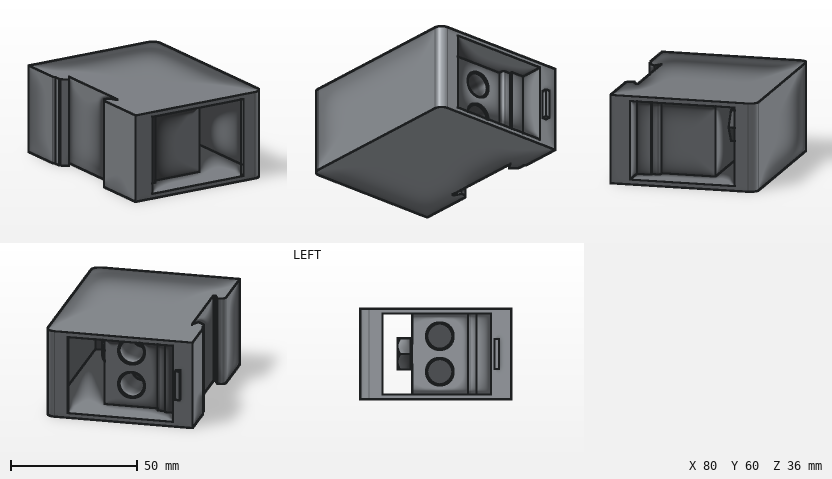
import cadquery as cq
import math

length = 78.0
depth = 60.0
height = 36.0
mid_x = length / 2
mid_z = height / 2
corner_radius = 3.5

recess_y = 5.4
foot_start_x = 17.4
foot_radius = 2.0
foot_rise = 0.6
hook_chamfer_x = 21.4
hook_chamfer_run = 0.6
hook_chamfer_rise = 0.3
hook_tip_x = 24.2
hook_tip_y = 3.5
hook_root_x = 21.1
lip_x = 53.4
lip_radius = 2.0
lip_top_y = 3.1
recess_end_x = 56.4
recess_end_y = 4.6

wall = 2.0
opening_start_y = 8.0
opening_end_y = 51.0
end_wall = 1.8
back_wall = 1.4
cavity_end_y = depth - back_wall
inner_height = height - 2 * wall

block_start_x = 14.0
block_end_y = 39.4
step_start_x = 11.6
step_end_y = 17.3
step_radius = 0.9
base_start_x = 10.4
base_end_y = 13.8

hole_diameter = 10.0
hole_chamfer = 0.5
hole_depth = 20.0
hole_y = 28.4
hole_spacing = 14.1

neck_diameter = 8.0
neck_length = 0.6
head_across_flats = 12.5
head_height = 5.3
head_top_radius = head_across_flats / 2
head_chamfer_angle = 45

tab_length = 2.0
tab_start_y = 4.9
tab_width = 1.8
tab_height = 12.0


def box(x_range, y_range, z_start, z_size):
    """Box between two X values and two Y values, raised from z_start."""
    x_size = x_range[1] - x_range[0]
    y_size = y_range[1] - y_range[0]
    corner = (x_range[0], y_range[0], z_start)
    return cq.Workplane("XY").box(x_size, y_size, z_size, centered=False).translate(corner)


def make_shell():
    """Outer body with the rail recess cut into its Y = 0 side."""
    foot_angle = math.acos(1 - foot_rise / foot_radius)
    foot_mid = (
        foot_start_x + foot_radius * math.sin(foot_angle / 2),
        foot_radius * (1 - math.cos(foot_angle / 2)),
    )
    foot_end = (foot_start_x + foot_radius * math.sin(foot_angle), foot_rise)
    lip_mid_offset = lip_radius * (1 - math.sqrt(0.5))
    profile = (
        cq.Workplane("XY")
        .moveTo(0, 0)
        .lineTo(foot_start_x, 0)
        .threePointArc(foot_mid, foot_end)
        .lineTo(hook_chamfer_x, foot_rise)
        .lineTo(hook_chamfer_x + hook_chamfer_run, foot_rise + hook_chamfer_rise)
        .lineTo(hook_tip_x, hook_tip_y)
        .lineTo(hook_root_x, recess_y)
        .lineTo(recess_end_x, recess_y)
        .lineTo(recess_end_x, recess_end_y)
        .lineTo(lip_x, lip_top_y)
        .lineTo(lip_x, lip_radius)
        .threePointArc((lip_x + lip_mid_offset, lip_mid_offset), (lip_x + lip_radius, 0))
        .lineTo(length, 0)
        .lineTo(length, depth)
        .lineTo(0, depth)
        .close()
    )
    return profile.extrude(height).edges("|Z and >Y").fillet(corner_radius)


def make_cavity():
    """Through opening plus the wider space between the end walls."""
    opening = box((0, length), (opening_start_y, opening_end_y), wall, inner_height)
    inside = box((end_wall, length - end_wall), (opening_start_y, cavity_end_y), wall, inner_height)
    return opening.union(inside)


def centred_bar(start_x, y_range):
    """Bar filling the inner height, centred along the housing."""
    return box((start_x, length - start_x), y_range, wall, inner_height)


def make_block():
    """Terminal block standing on a rounded step and a base."""
    block = centred_bar(block_start_x, (opening_start_y, block_end_y))
    step = centred_bar(step_start_x, (opening_start_y, step_end_y)).edges("|Z and >Y").fillet(step_radius)
    base = centred_bar(base_start_x, (opening_start_y, base_end_y))
    return block.union(step).union(base)


def make_wire_hole(z):
    """Blind wire hole with a chamfered mouth on the block face."""
    radius = hole_diameter / 2
    outline = (
        cq.Workplane("XY")
        .moveTo(0, 0)
        .lineTo(0, radius + hole_chamfer)
        .lineTo(hole_chamfer, radius)
        .lineTo(hole_depth, radius)
        .lineTo(hole_depth, 0)
        .close()
    )
    return outline.revolve(360, (0, 0), (1, 0)).translate((block_start_x, hole_y, z))


def make_bolt():
    """Hex head on a short neck, its axis along Y and a corner towards X = 0."""
    head_radius = head_across_flats / math.sqrt(3)
    chamfer_slope = math.tan(math.radians(head_chamfer_angle))
    skirt_height = head_height - (head_radius - head_top_radius) * chamfer_slope
    head = cq.Workplane("XZ").polygon(6, 2 * head_radius).extrude(-head_height)
    rounding = (
        cq.Workplane("XY")
        .moveTo(0, 0)
        .lineTo(head_radius, 0)
        .lineTo(head_radius, skirt_height)
        .lineTo(head_top_radius, head_height)
        .lineTo(0, head_height)
        .close()
        .revolve(360, (0, 0), (0, 1))
    )
    head = head.intersect(rounding).translate((0, neck_length, 0))
    neck = cq.Workplane("XZ").circle(neck_diameter / 2).extrude(-neck_length)
    return head.union(neck).translate((mid_x, block_end_y, mid_z))


def make_tab():
    """Small locking tab on the X = 0 side."""
    y_range = (tab_start_y, tab_start_y + tab_width)
    return box((-tab_length, 0), y_range, mid_z - tab_height / 2, tab_height)


result = make_shell().cut(make_cavity()).union(make_block())
for side in (-1, 1):
    result = result.cut(make_wire_hole(mid_z + side * hole_spacing / 2))
result = result.union(make_bolt()).union(make_tab())